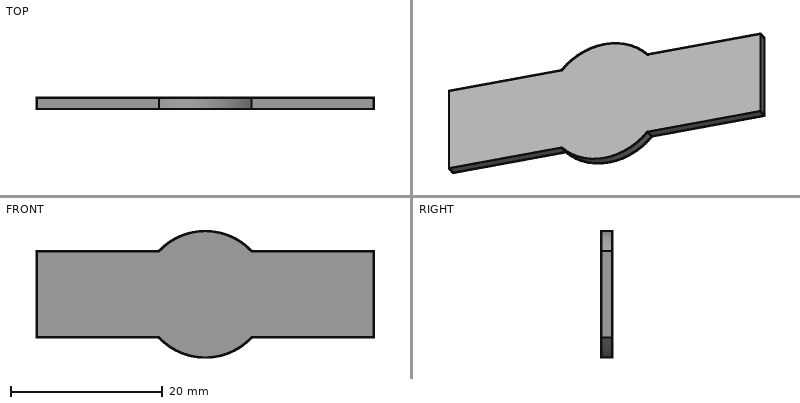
import cadquery as cq

strip_length = 44.6
strip_height = 11.4
disc_diameter = 16.77
thickness = 1.5


strip = cq.Workplane("XY").box(strip_length, thickness, strip_height)

disc = cq.Workplane("XZ").circle(disc_diameter / 2).extrude(thickness / 2, both=True)

result = strip.union(disc, clean=True)